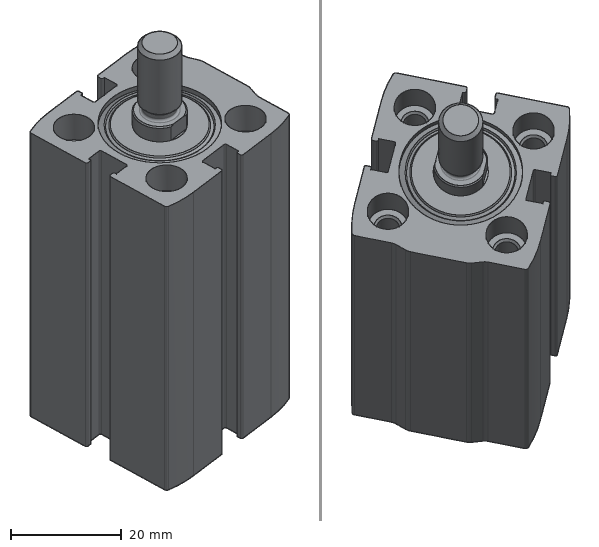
import cadquery as cq
import math


total_height = 86.0
housing_height = 67.0
housing_size = 34.5
half_width = housing_size / 2
half_depth = housing_size / 2

side_flat_half = 10.8
corner_half_width = 16.25
corner_fillet = 0.6
ridge_height = 1.0
ridge_top_half = 5.7
ridge_foot_half = 8.5
ridge_fillet = 2.6

slot_mouth_width = 5.3
slot_inner_width = 6.5
slot_depth = 4.5
slot_lip = 1.3
slot_mouth_fillet = 0.35
slot_lip_fillet = 0.3
slot_floor_fillet = 0.35
slot_angles = [-90, 0, 90]

hole_spacing = 22.0
hole_diameter = 4.2
countersink_diameter = 5.1
counterbore_diameter = 7.5
counterbore_depth = 6.0

cover_face_radius = 8.95
cover_face_depth = 0.3
cover_edge_radius = 9.2
cover_edge_depth = 0.5
groove_radius = 9.8
groove_depth = 0.8
ring_radius = 10.1
ring_depth = 0.4
bore_radius = 11.2
bore_depth = 1.0

rod_diameter = 10.0
rod_chamfer = 0.3
rod_insertion = 8.6
wrench_width = 9.0
shoulder_z = 70.2
neck_diameter = 6.4
neck_fillet = 0.5
neck_top_z = 71.55
thread_diameter = 8.0
thread_start_z = 72.4
tip_chamfer = 0.8

cover_face_z = housing_height - cover_face_depth
rod_bottom_z = cover_face_z - rod_insertion


def make_blank():
    """Housing block with bowed sides and a raised strip along the back."""
    bow_length = half_depth - side_flat_half
    bow_inset = half_width - corner_half_width
    bow_radius = (bow_length**2 + bow_inset**2) / (2 * bow_inset)
    half_angle = math.asin(bow_length / bow_radius) / 2
    bow_mid_x = half_width - bow_radius * (1 - math.cos(half_angle))
    bow_mid_y = side_flat_half + bow_radius * math.sin(half_angle)
    ridge_y = half_depth + ridge_height
    blank = (
        cq.Workplane("XY")
        .moveTo(-corner_half_width, -half_depth)
        .lineTo(corner_half_width, -half_depth)
        .threePointArc((bow_mid_x, -bow_mid_y), (half_width, -side_flat_half))
        .lineTo(half_width, side_flat_half)
        .threePointArc((bow_mid_x, bow_mid_y), (corner_half_width, half_depth))
        .lineTo(ridge_foot_half, half_depth)
        .lineTo(ridge_top_half, ridge_y)
        .lineTo(-ridge_top_half, ridge_y)
        .lineTo(-ridge_foot_half, half_depth)
        .lineTo(-corner_half_width, half_depth)
        .threePointArc((-bow_mid_x, bow_mid_y), (-half_width, side_flat_half))
        .lineTo(-half_width, -side_flat_half)
        .threePointArc((-bow_mid_x, -bow_mid_y), (-corner_half_width, -half_depth))
        .close()
        .extrude(housing_height)
    )
    corners = [(sx * corner_half_width, sy * half_depth) for sx in (-1, 1) for sy in (-1, 1)]
    ridge_edges = [(s * ridge_foot_half, half_depth) for s in (-1, 1)]
    ridge_edges += [(s * ridge_top_half, ridge_y) for s in (-1, 1)]
    blank = fillet_upright_edges(blank, corners, corner_fillet)
    return fillet_upright_edges(blank, ridge_edges, ridge_fillet)


def fillet_upright_edges(body, places, radius):
    """Round the full-height edges that stand at the given X, Y places."""
    for x, y in places:
        edge = cq.selectors.NearestToPointSelector((x, y, housing_height / 2))
        body = body.edges("|Z").edges(edge).fillet(radius)
    return body


def cut_slot(body, angle):
    """Cut one full-height T-slot with rounded edges into the face at this angle."""
    turned = body.rotate((0, 0, 0), (0, 0, 1), -angle)
    face_y = -half_depth
    mouth = cq.Workplane("XY").box(
        slot_mouth_width, slot_depth, housing_height, centered=(True, False, False)
    )
    inner = cq.Workplane("XY").box(
        slot_inner_width, slot_depth - slot_lip, housing_height, centered=(True, False, False)
    )
    turned = turned.cut(mouth.translate((0, face_y, 0)))
    turned = turned.cut(inner.translate((0, face_y + slot_lip, 0)))
    for side in (-1, 1):
        mouth_x = side * slot_mouth_width / 2
        floor_corner = (side * slot_inner_width / 2, face_y + slot_depth)
        turned = fillet_upright_edges(turned, [(mouth_x, face_y)], slot_mouth_fillet)
        turned = fillet_upright_edges(turned, [(mouth_x, face_y + slot_lip)], slot_lip_fillet)
        turned = fillet_upright_edges(turned, [floor_corner], slot_floor_fillet)
    return turned.rotate((0, 0, 0), (0, 0, 1), angle)


def make_hole_cutter():
    """Stepped through hole: counterbore, small countersink, then the bore."""
    counterbore_z = housing_height - counterbore_depth
    countersink_z = counterbore_z - (countersink_diameter - hole_diameter) / 2
    return (
        cq.Workplane("XZ")
        .lineTo(hole_diameter / 2, 0)
        .lineTo(hole_diameter / 2, countersink_z)
        .lineTo(countersink_diameter / 2, counterbore_z)
        .lineTo(counterbore_diameter / 2, counterbore_z)
        .lineTo(counterbore_diameter / 2, housing_height)
        .lineTo(0, housing_height)
        .close()
        .revolve(360, (0, 0, 0), (0, 1, 0))
    )


def make_cover_cutter():
    """Space above the front cover: chamfered face, groove, sharp ring and bevel down to the bore wall."""
    return (
        cq.Workplane("XZ")
        .moveTo(0, cover_face_z)
        .lineTo(cover_face_radius, cover_face_z)
        .lineTo(cover_edge_radius, housing_height - cover_edge_depth)
        .lineTo(groove_radius, housing_height - groove_depth)
        .lineTo(ring_radius, housing_height - ring_depth)
        .lineTo(bore_radius, housing_height - bore_depth)
        .lineTo(bore_radius, housing_height)
        .lineTo(0, housing_height)
        .close()
        .revolve(360, (0, 0, 0), (0, 1, 0))
    )


def make_rod_hole():
    """Blind hole in the cover that the piston rod fills."""
    return (
        cq.Workplane("XY")
        .workplane(offset=rod_bottom_z)
        .circle(rod_diameter / 2)
        .extrude(rod_insertion)
    )


def make_housing():
    """Housing with sensor slots, four mounting holes and the front cover."""
    housing = make_blank()
    for angle in slot_angles:
        housing = cut_slot(housing, angle)
    hole_cutter = make_hole_cutter()
    hole_offset = hole_spacing / 2
    for sx in (-1, 1):
        for sy in (-1, 1):
            housing = housing.cut(hole_cutter.translate((sx * hole_offset, sy * hole_offset, 0)))
    return housing.cut(make_cover_cutter()).cut(make_rod_hole())


def make_rod():
    """Piston rod: collar with wrench flats, filleted neck and threaded end."""
    rod_radius = rod_diameter / 2
    neck_radius = neck_diameter / 2
    thread_radius = thread_diameter / 2
    fillet_mid = neck_fillet * (1 - math.sqrt(0.5))
    rod = (
        cq.Workplane("XZ")
        .moveTo(0, rod_bottom_z)
        .lineTo(rod_radius, rod_bottom_z)
        .lineTo(rod_radius, shoulder_z - rod_chamfer)
        .lineTo(rod_radius - rod_chamfer, shoulder_z)
        .lineTo(neck_radius + neck_fillet, shoulder_z)
        .threePointArc(
            (neck_radius + fillet_mid, shoulder_z + fillet_mid),
            (neck_radius, shoulder_z + neck_fillet),
        )
        .lineTo(neck_radius, neck_top_z)
        .lineTo(thread_radius, thread_start_z)
        .lineTo(thread_radius, total_height - tip_chamfer)
        .lineTo(thread_radius - tip_chamfer, total_height)
        .lineTo(0, total_height)
        .close()
        .revolve(360, (0, 0, 0), (0, 1, 0))
    )
    return cut_wrench_flats(rod)


def cut_wrench_flats(rod):
    """Cut two opposite flats into the collar, from its shoulder down to the cover face."""
    flat_height = shoulder_z - cover_face_z
    flat_cutter = cq.Workplane("XY").box(
        rod_diameter, rod_diameter, flat_height, centered=(False, True, False)
    )
    flat_cutter = flat_cutter.translate((wrench_width / 2, 0, cover_face_z))
    return rod.cut(flat_cutter).cut(flat_cutter.mirror("YZ"))


housing = make_housing()
piston_rod = make_rod()

result = cq.Compound.makeCompound([housing.val(), piston_rod.val()])